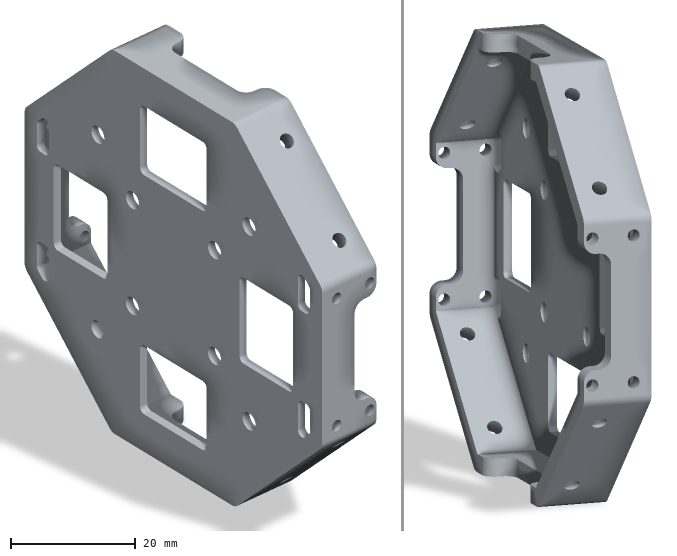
import cadquery as cq
import math

width = 72.4
depth = 11.5
wall = 3.0
floor = 1.5
corner_radius = 1.9

window_length = 16.2
window_depth = 13.05
window_offset = 22.6
window_radius = 1.0

floor_hole_diameter = 3.2
inner_hole_offset = 10.0
outer_hole_offset = 18.4

slot_width = 3.0
slot_start = 8.55
slot_radius = 1.0

notch_width = 19.0
notch_depth = 4.6
notch_radius = 2.0

side_hole_diameter = 2.0
side_hole_offset = 12.0
side_hole_heights = (3.05, 10.1)

diagonal_hole_diameter = 2.5
diagonal_hole_spacing = 18.0
diagonal_hole_height = 7.3

half_width = width / 2
inner_half_width = half_width - wall

cutter_start = inner_half_width - wall
cutter_length = 3 * wall


def floor_plane(height=0.0):
    """Plane parallel to the floor with normal +Y: local x is Z, local y is X."""
    return cq.Workplane(cq.Plane(origin=(0, height, 0), xDir=(0, 0, 1), normal=(0, 1, 0)))


def wall_plane(angle):
    """Plane at the center facing one wall: local x runs along the wall, local y to +Y."""
    turn = math.radians(angle)
    outward = (math.cos(turn), 0, math.sin(turn))
    along = (math.sin(turn), 0, -math.cos(turn))
    return cq.Workplane(cq.Plane(origin=(0, 0, 0), xDir=along, normal=outward))


def octagon(across_flats, bottom, height):
    """Regular octagonal prism with flats facing the X and Z axes."""
    half_step = math.pi / 8
    circumradius = across_flats / 2 / math.cos(half_step)
    turns = [half_step * (2 * corner + 1) for corner in range(8)]
    points = [(circumradius * math.cos(turn), circumradius * math.sin(turn)) for turn in turns]
    return floor_plane(bottom).polyline(points).close().extrude(height)


def tray():
    outside = octagon(width, 0, depth).edges("|Y").fillet(corner_radius)
    inside = octagon(2 * inner_half_width, floor, depth)
    return outside.cut(inside)


def windows():
    window = floor_plane().center(window_offset, 0).rect(window_depth, window_length).extrude(floor)
    window = window.edges("|Y").fillet(window_radius)
    cutters = cq.Workplane()
    for angle in range(0, 360, 90):
        cutters = cutters.add(window.rotate((0, 0, 0), (0, 1, 0), angle))
    return cutters.combine()


def floor_holes():
    corners = [
        (side_z * offset, side_x * offset)
        for offset in (inner_hole_offset, outer_hole_offset)
        for side_z in (-1, 1)
        for side_x in (-1, 1)
    ]
    return floor_plane().pushPoints(corners).circle(floor_hole_diameter / 2).extrude(floor)


def slots():
    inner_x = inner_half_width - slot_width
    diagonal_sum = inner_half_width * math.sqrt(2)
    outline = [
        (slot_start, inner_x),
        (diagonal_sum - inner_x, inner_x),
        (diagonal_sum - inner_half_width, inner_half_width),
        (slot_start, inner_half_width),
    ]
    slot = floor_plane().polyline(outline).close().extrude(floor)
    slot = slot.edges("|Y").fillet(slot_radius)
    pair = slot.union(slot.mirror("XY"))
    return pair.union(pair.mirror("YZ"))


def notch(angle):
    bottom = depth - notch_depth
    half = notch_width / 2
    r = notch_radius
    return (
        wall_plane(angle)
        .workplane(offset=cutter_start)
        .moveTo(-half - r, depth)
        .radiusArc((-half, depth - r), r)
        .lineTo(-half, bottom + r)
        .radiusArc((-half + r, bottom), -r)
        .lineTo(half - r, bottom)
        .radiusArc((half, bottom + r), -r)
        .lineTo(half, depth - r)
        .radiusArc((half + r, depth), r)
        .close()
        .extrude(cutter_length)
    )


def wall_holes(angle, points, diameter):
    return (
        wall_plane(angle)
        .workplane(offset=cutter_start)
        .pushPoints(points)
        .circle(diameter / 2)
        .extrude(cutter_length)
    )


result = tray().cut(windows()).cut(floor_holes()).cut(slots())

for angle in range(0, 360, 90):
    result = result.cut(notch(angle))

side_points = [(side * side_hole_offset, height) for side in (-1, 1) for height in side_hole_heights]
for angle in (0, 180):
    result = result.cut(wall_holes(angle, side_points, side_hole_diameter))

diagonal_points = [(side * diagonal_hole_spacing / 2, diagonal_hole_height) for side in (-1, 1)]
for angle in range(45, 360, 90):
    result = result.cut(wall_holes(angle, diagonal_points, diagonal_hole_diameter))